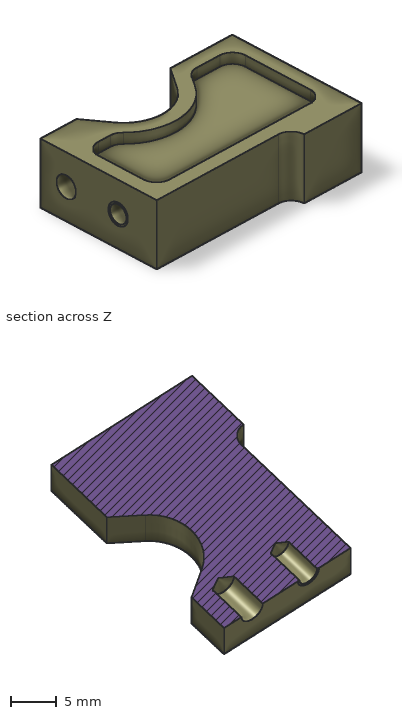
import cadquery as cq
import math

length_x = 20.0
length_y = 30.0
height = 9.0
narrow_x = 18.0
step_y = 21.0
step_radius = 2.0

notch_y = 13.0
notch_radius = 6.0
flare_angle = math.radians(35.0)

wall = 2.0
pocket_front_x = 5.0
pocket_depth = 1.5
pocket_radius = 2.0

hole_z = height / 2
tip_angle = math.radians(118.0)
hole_depth = 5.0
plain_hole_x = 4.0
plain_hole_diameter = 3.0
stepped_hole_x = 12.0
stepped_hole_diameter = 2.5
mouth_diameter = 3.0
mouth_depth = 0.05


def flare_tangent(radius):
    """Offset in X and Y from the notch centre to where the flare meets the arc."""
    return radius * math.sin(flare_angle), radius * math.cos(flare_angle)


def flare_offset(radius, x):
    """Distance in Y from the notch centre to the flare line at a given X."""
    return radius / math.cos(flare_angle) - x * math.tan(flare_angle)


def make_block():
    tangent_x, tangent_y = flare_tangent(notch_radius)
    mouth = flare_offset(notch_radius, 0)
    arc_center_y = step_y - step_radius
    arc_mid = step_radius * math.sqrt(0.5)
    return (
        cq.Workplane("XY")
        .moveTo(0, 0)
        .lineTo(narrow_x, 0)
        .lineTo(narrow_x, arc_center_y)
        .threePointArc((length_x - arc_mid, arc_center_y + arc_mid), (length_x, step_y))
        .lineTo(length_x, length_y)
        .lineTo(0, length_y)
        .lineTo(0, notch_y + mouth)
        .lineTo(tangent_x, notch_y + tangent_y)
        .threePointArc((notch_radius, notch_y), (tangent_x, notch_y - tangent_y))
        .lineTo(0, notch_y - mouth)
        .close()
        .extrude(height)
    )


def make_pocket():
    """Pocket volume whose side keeps an even wall around the notch."""
    radius = notch_radius + wall
    tangent_x, tangent_y = flare_tangent(radius)
    corner_front_left = (pocket_front_x, wall)
    corner_front_right = (narrow_x - wall, wall)
    corner_rear_right = (narrow_x - wall, length_y - wall)
    corner_rear_left = (wall, length_y - wall)
    corner_behind_notch = (wall, notch_y + flare_offset(radius, wall))
    corner_before_notch = (pocket_front_x, notch_y - math.sqrt(radius**2 - pocket_front_x**2))
    pocket = (
        cq.Workplane("XY")
        .workplane(offset=height - pocket_depth)
        .moveTo(*corner_front_left)
        .lineTo(*corner_front_right)
        .lineTo(*corner_rear_right)
        .lineTo(*corner_rear_left)
        .lineTo(*corner_behind_notch)
        .lineTo(tangent_x, notch_y + tangent_y)
        .threePointArc((radius, notch_y), corner_before_notch)
        .close()
        .extrude(pocket_depth)
    )
    corners = [
        corner_front_left,
        corner_front_right,
        corner_rear_right,
        corner_rear_left,
        corner_behind_notch,
        corner_before_notch,
    ]
    mid_z = height - pocket_depth / 2
    edges = []
    for x, y in corners:
        nearest = cq.selectors.NearestToPointSelector((x, y, mid_z))
        edges.append(pocket.edges("|Z").edges(nearest).val())
    return pocket.newObject(edges).fillet(pocket_radius)


def make_hole(x, diameter):
    """Drilled hole volume with a conical tip."""
    radius = diameter / 2
    tip_length = radius / math.tan(tip_angle / 2)
    return (
        cq.Workplane("XY")
        .moveTo(0, 0)
        .lineTo(radius, 0)
        .lineTo(radius, hole_depth)
        .lineTo(0, hole_depth + tip_length)
        .close()
        .revolve(360, (0, 0), (0, 1))
        .translate((x, 0, hole_z))
    )


def make_mouth():
    """Shallow wider mouth of the stepped hole."""
    return (
        cq.Workplane("XZ", origin=(stepped_hole_x, 0, hole_z))
        .circle(mouth_diameter / 2)
        .extrude(-mouth_depth)
    )


result = (
    make_block()
    .cut(make_pocket())
    .cut(make_hole(plain_hole_x, plain_hole_diameter))
    .cut(make_hole(stepped_hole_x, stepped_hole_diameter))
    .cut(make_mouth())
)